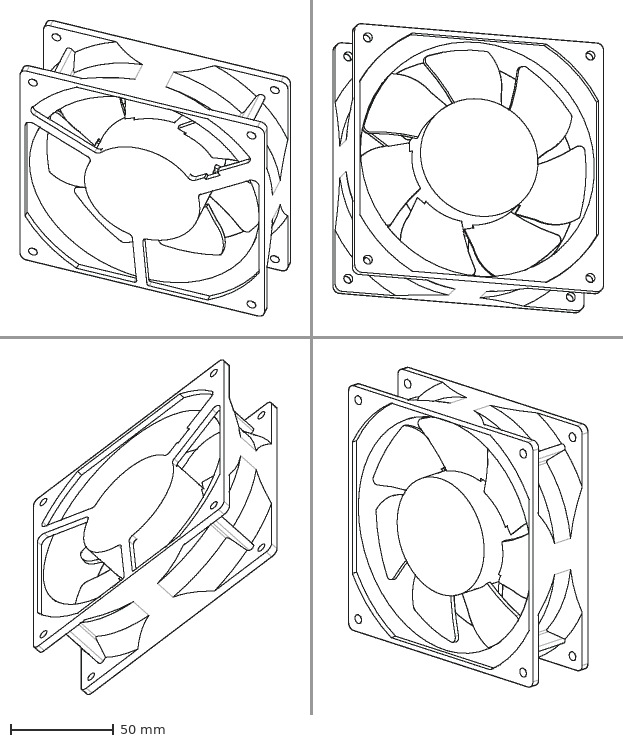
import cadquery as cq
import math


SIDE = 127.0
DEPTH = 38.5
FLANGE_THICKNESS = 4.1
CORNER_RADIUS = 3.5
HOLE_OFFSET = 56.8
HOLE_DIAMETER = 4.5

BORE_RADIUS = 59.7
THROAT_RADIUS = 64.0
THROAT_LENGTH = 11.2
FRONT_CONE_LENGTH = 8.1
FRONT_CONE_RADIUS = 71.4
BACK_CONE_RADIUS = 68.5

RIB_CENTER = 49.9
RIB_RADIUS = 1.8
RIB_FILLET = 1.0

RECESS_DEPTH = 3.0
RECESS_HALF_WIDTH = 60.8
RECESS_RADIUS = 69.7
HUB_CORNER_RADIUS = 2.5
SIDE_CORNER_RADIUS = 3.2
FOOT_CORNER_RADIUS = 1.3

HUB_RADIUS = 30.0
SPOKE_COUNT = 3
SPOKE_OFFSET = 4.8
FIRST_SPOKE_ANGLE = 34.4
SPOKE_WIDTH = 5.3
CABLE_SPOKE_WIDTH = 10.0

NOTCH_START = 38.5
NOTCH_END = 47.4
NOTCH_DEPTH = 2.5
INNER_STEP_DEPTH = 1.3

BLADE_COUNT = 7
BLADE_PITCH = 10.0
BLADE_THICKNESS = 2.0
BLADE_FACE_Y = 3.4
BLADE_ROOT_OVERLAP = 3.8
BLADE_CORNER_RADIUS = 2.8

ROOT_NOTCH_INNER = (-11.7, 29.0)
ROOT_NOTCH_OUTER = (-16.3, 27.7)
LEADING_EDGE_BEND = (-16.0, 38.1)
LEADING_EDGE_MIDDLE = (-14.5, 51.0)
LEADING_TIP = (-8.6, 59.2)
TIP_MIDDLE = (8.5, 57.5)
TRAILING_TIP = (28.0, 51.2)
TRAILING_EDGE_MIDDLE = (16.3, 39.6)
TRAILING_ROOT_X = 6.9

TOLERANCE = 0.01

FRONT_Y = -DEPTH / 2
FRONT_FLANGE_BACK = FRONT_Y + FLANGE_THICKNESS
BACK_FLANGE_FRONT = DEPTH / 2 - FLANGE_THICKNESS
THROAT_START = FRONT_FLANGE_BACK + FRONT_CONE_LENGTH
THROAT_END = THROAT_START + THROAT_LENGTH


def plane_at(y):
    """Workplane at depth y whose local axes are X and Z and whose normal is -Y."""
    return cq.Workplane(cq.Plane(origin=(0, y, 0), xDir=(1, 0, 0), normal=(0, -1, 0)))


def prism(sketch, length):
    """Extrude a plane_at() outline toward the back."""
    return sketch.extrude(-length)


def cylinder(radius, y, length):
    return prism(plane_at(y).circle(radius), length)


def turn(shape, angle):
    """Turn a shape counter-clockwise, as seen from the front, about the fan axis."""
    return shape.rotate((0, 0, 0), (0, -1, 0), angle)


def flange(y):
    plate = prism(plane_at(y).rect(SIDE, SIDE), FLANGE_THICKNESS)
    return plate.edges("|Y").fillet(CORNER_RADIUS)


def duct():
    """Waisted outer wall, trimmed to the square outline of the housing."""
    wall = (
        cq.Workplane("XY")
        .moveTo(0, FRONT_FLANGE_BACK)
        .lineTo(FRONT_CONE_RADIUS, FRONT_FLANGE_BACK)
        .lineTo(THROAT_RADIUS, THROAT_START)
        .lineTo(THROAT_RADIUS, THROAT_END)
        .lineTo(BACK_CONE_RADIUS, BACK_FLANGE_FRONT)
        .lineTo(0, BACK_FLANGE_FRONT)
        .close()
        .revolve(360, (0, 0, 0), (0, 1, 0))
    )
    return wall.intersect(cq.Workplane("XY").box(SIDE, DEPTH, SIDE))


def corner_rib():
    """Rib lying along +X; it is turned onto the diagonals afterwards."""
    length = BACK_FLANGE_FRONT - FRONT_FLANGE_BACK
    reach = RIB_CENTER * math.sqrt(2)
    web = prism(plane_at(FRONT_FLANGE_BACK).center(reach / 2, 0).rect(reach, 2 * RIB_RADIUS), length)
    end = prism(plane_at(FRONT_FLANGE_BACK).center(reach, 0).circle(RIB_RADIUS), length)
    return web.union(end)


def spoke_block(end, top, width):
    """Bar along +X from the fan axis to the given end, below the given upper edge."""
    sketch = plane_at(FRONT_Y).center(end / 2, top - width / 2).rect(end, width)
    return prism(sketch, RECESS_DEPTH)


def plain_spoke():
    return spoke_block(SIDE, SPOKE_WIDTH / 2 - SPOKE_OFFSET, SPOKE_WIDTH)


def cable_spoke():
    """Wide spoke with a lowered inner part and a notch in its upper edge."""
    top = CABLE_SPOKE_WIDTH / 2 - SPOKE_OFFSET
    bar = spoke_block(SIDE, top, CABLE_SPOKE_WIDTH)
    bar = bar.cut(spoke_block(NOTCH_END, top, NOTCH_DEPTH))
    inner_width = CABLE_SPOKE_WIDTH - INNER_STEP_DEPTH
    return bar.union(spoke_block(NOTCH_START, top - INNER_STEP_DEPTH, inner_width))


def is_hub_corner(point):
    return abs(math.hypot(point.x, point.z) - HUB_RADIUS) < TOLERANCE


def is_foot_corner(point):
    """Corner where the lowest spoke meets the bottom edge of the recess."""
    on_bottom = abs(point.z + RECESS_HALF_WIDTH) < TOLERANCE
    return on_bottom and abs(point.x) < HUB_RADIUS


def is_side_corner(point):
    """Corner where one of the two upper spokes meets the recess outline."""
    beside_hub = HUB_RADIUS / 2 < point.z < RECESS_HALF_WIDTH - TOLERANCE
    return beside_hub and math.hypot(point.x, point.z) > BORE_RADIUS


def round_corners(pocket, radius, is_chosen):
    corners = [edge for edge in pocket.edges("|Y").vals() if is_chosen(edge.Center())]
    return pocket.newObject(corners).fillet(radius)


def recess(y):
    """Square pocket with its corners cut off by a circle."""
    full_width = 2 * RECESS_HALF_WIDTH
    square = prism(plane_at(y).rect(full_width, full_width), RECESS_DEPTH)
    return square.intersect(cylinder(RECESS_RADIUS, y, RECESS_DEPTH))


def spoked_recess():
    """Three openings left between the hub, the spokes and the recess outline."""
    pocket = recess(FRONT_Y).cut(cylinder(HUB_RADIUS, FRONT_Y, RECESS_DEPTH))
    pocket = pocket.cut(turn(cable_spoke(), FIRST_SPOKE_ANGLE))
    for i in range(1, SPOKE_COUNT):
        pocket = pocket.cut(turn(plain_spoke(), FIRST_SPOKE_ANGLE + i * 360 / SPOKE_COUNT))
    pocket = round_corners(pocket, HUB_CORNER_RADIUS, is_hub_corner)
    pocket = round_corners(pocket, FOOT_CORNER_RADIUS, is_foot_corner)
    pocket = round_corners(pocket, SIDE_CORNER_RADIUS, is_side_corner)
    return pocket


def blade():
    """Blade pointing up; its left edge is the leading one, nearer the front."""
    root = HUB_RADIUS - BLADE_ROOT_OVERLAP
    outline = (
        plane_at(BLADE_FACE_Y)
        .moveTo(ROOT_NOTCH_INNER[0], root)
        .lineTo(*ROOT_NOTCH_INNER)
        .lineTo(*ROOT_NOTCH_OUTER)
        .lineTo(*LEADING_EDGE_BEND)
        .threePointArc(LEADING_EDGE_MIDDLE, LEADING_TIP)
        .threePointArc(TIP_MIDDLE, TRAILING_TIP)
        .threePointArc(TRAILING_EDGE_MIDDLE, (TRAILING_ROOT_X, root))
        .close()
    )
    plate = prism(outline, BLADE_THICKNESS)
    plate = plate.edges("|Y").edges(">X").fillet(BLADE_CORNER_RADIUS)
    return plate.rotate((0, BLADE_FACE_Y, 0), (0, BLADE_FACE_Y, 1), BLADE_PITCH)


def screw_holes():
    spacing = 2 * HOLE_OFFSET
    centers = plane_at(FRONT_Y).rect(spacing, spacing, forConstruction=True).vertices()
    return prism(centers.circle(HOLE_DIAMETER / 2), DEPTH)


def is_throat_rib_edge(edge):
    """Straight edge where the side of a rib meets the narrow part of the duct."""
    point = edge.Center()
    at_throat = abs(math.hypot(point.x, point.z) - THROAT_RADIUS) < TOLERANCE
    return at_throat and abs(abs(point.x) - abs(point.z)) < 3 * RIB_RADIUS


def housing():
    shell = flange(FRONT_Y).union(flange(BACK_FLANGE_FRONT)).union(duct())
    for i in range(4):
        shell = shell.union(turn(corner_rib(), 45 + 90 * i))
    rib_edges = [edge for edge in shell.edges("|Y").vals() if is_throat_rib_edge(edge)]
    shell = shell.newObject(rib_edges).fillet(RIB_FILLET)
    shell = shell.cut(screw_holes())
    shell = shell.cut(cylinder(BORE_RADIUS, FRONT_Y + RECESS_DEPTH, DEPTH))
    shell = shell.cut(spoked_recess())
    return shell.cut(recess(DEPTH / 2 - RECESS_DEPTH))


def fan():
    body = housing().union(cylinder(HUB_RADIUS, FRONT_Y, DEPTH))
    for i in range(BLADE_COUNT):
        body = body.union(turn(blade(), i * 360 / BLADE_COUNT))
    return body


result = fan()